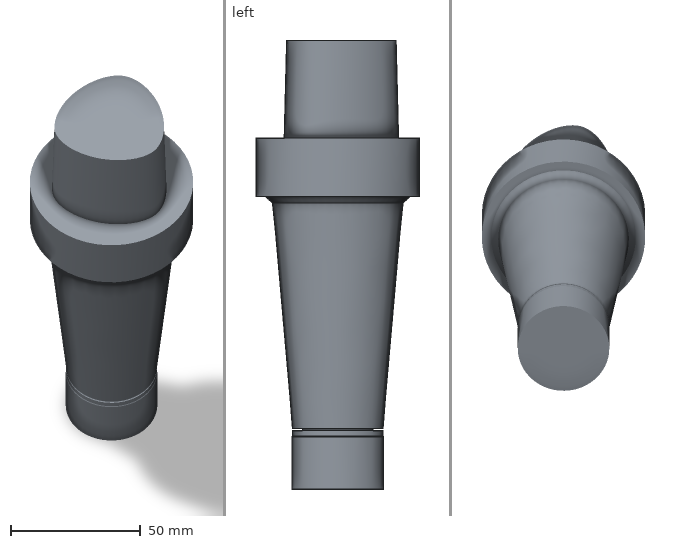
import cadquery as cq
import math

tip_chamfer_bottom = 20.2
band_bottom = 20.6
groove_bottom = 22.7
groove_top = 23.4
cone_top = 110.4
flange_bottom = 112.8
flange_top = 135.3
total_height = 173

tip_diameter = 35.3
band_diameter = 35.0
groove_diameter = 27.3
cone_top_diameter = 50.3
collar_diameter = 55.7
flange_diameter = 63.0

shank_mean_diameter = 44.1
shank_mean_radius = shank_mean_diameter / 2
lobe_height = 1.4
radius_taper = 1 / 40
lobe_count = 3
fit_points = 48


def turned_body():
    """Tip with a small chamfer, band, groove, cone, chamfered collar and flange, revolved about Z."""
    steps = [
        (tip_diameter, 0),
        (tip_diameter, tip_chamfer_bottom),
        (band_diameter, band_bottom),
        (band_diameter, groove_bottom),
        (groove_diameter, groove_bottom),
        (groove_diameter, groove_top),
        (band_diameter, groove_top),
        (cone_top_diameter, cone_top),
        (collar_diameter, flange_bottom),
        (flange_diameter, flange_bottom),
        (flange_diameter, flange_top),
    ]
    outline = [(diameter / 2, height) for diameter, height in steps]
    profile = cq.Workplane("XZ").polyline([(0, 0)] + outline + [(0, flange_top)]).close()
    return profile.revolve(360, (0, 0), (0, 1))


def lobed_point(mean_radius, angle):
    """Point on the rounded-triangle curve whose normal is at the given angle, one lobe on -Y."""
    phase = lobe_count * (angle + math.pi / 2)
    reach = mean_radius + lobe_height * math.cos(phase)
    slope = -lobe_count * lobe_height * math.sin(phase)
    x = reach * math.cos(angle) - slope * math.sin(angle)
    y = reach * math.sin(angle) + slope * math.cos(angle)
    return x, y


def lobed_curve(workplane, mean_radius):
    """Closed curve starting at the -Y lobe."""
    angles = [2 * math.pi * i / fit_points - math.pi / 2 for i in range(fit_points)]
    points = [lobed_point(mean_radius, angle) for angle in angles]
    return workplane.spline(points, periodic=True).close()


def shank():
    """Rounded-triangle shank narrowing toward the upper end."""
    height = total_height - flange_top
    top_mean_radius = shank_mean_radius - radius_taper * height
    base = lobed_curve(cq.Workplane("XY").workplane(offset=flange_top), shank_mean_radius)
    return lobed_curve(base.workplane(offset=height), top_mean_radius).loft(ruled=True)


result = turned_body().union(shank())